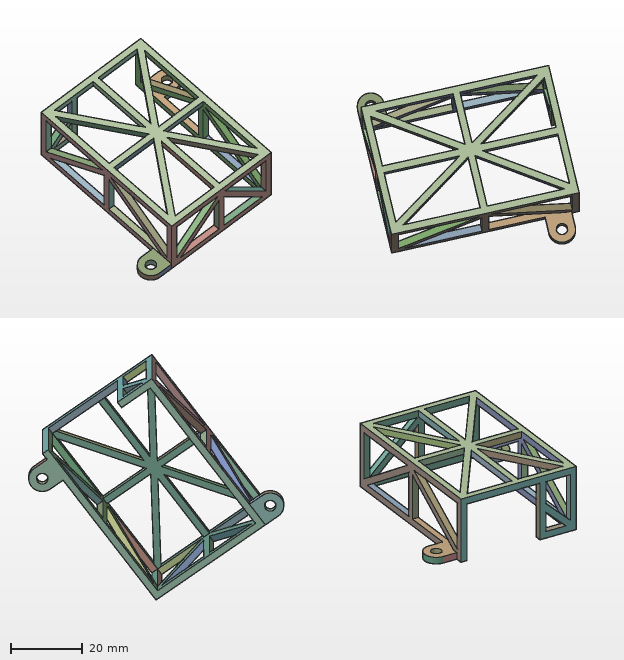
import cadquery as cq
import math

length = 54.0
total_width = 54.5
width = 38.0
height = 20.0

bar = 2.0
rail = 2.1

entry_panel = 12.0

lug_width = 7.65
lug_thickness = rail
lug_hole_diameter = 3.15
back_lug_inset = 2.2

lug_reach = (total_width - width) / 2
lug_radius = lug_width / 2
front_lug_x = (length - lug_width) / 2
back_lug_x = -length / 2 + back_lug_inset + lug_radius


def block(size_x, size_y, x=0.0, y=0.0):
    """Flat bar lying on Z = 0, centred at (x, y)."""
    return cq.Workplane("XY").box(size_x, size_y, bar, centered=(True, True, False)).translate((x, y, 0))


def brace(start, end):
    """Flat diagonal bar along the line from start to end, running past both ends."""
    run = end[0] - start[0]
    rise = end[1] - start[1]
    angle = math.degrees(math.atan2(rise, run))
    overrun = 4 * bar
    flat = block(math.hypot(run, rise) + overrun, bar).rotate((0, 0, 0), (0, 0, 1), angle)
    return flat.translate(((start[0] + end[0]) / 2, (start[1] + end[1]) / 2, 0))


def truss(span, rise, edge, braces):
    """Flat rectangular border with a centre post and braces trimmed to its window."""
    window = block(span - 2 * bar, rise - 2 * edge)
    border = block(span, rise).cut(window)
    panel = border.union(block(bar, rise))
    for start, end in braces:
        panel = panel.union(brace(start, end).intersect(window))
    return panel


def wall(span):
    """Upright truss on the XZ plane, centred on X, reaching from Y = -bar to Y = 0."""
    corner_x = span / 2 - bar
    window_top = height / 2 - rail
    braces = [((side * corner_x, -window_top), (0, window_top)) for side in (-1, 1)]
    flat = truss(span, height, rail, braces)
    return flat.rotate((0, 0, 0), (1, 0, 0), 90).translate((0, 0, height / 2))


def make_roof():
    """Top truss with both diagonals and a cross bar along X."""
    corner_x = length / 2 - bar
    corner_y = width / 2 - bar
    diagonals = [((-corner_x, -side * corner_y), (corner_x, side * corner_y)) for side in (-1, 1)]
    flat = truss(length, width, bar, diagonals).union(block(length, bar))
    return flat.translate((0, 0, height - bar))


def make_entry_wall(plain_wall):
    """End wall with an open bottom entry between a post and the +Y corner post."""
    entry_start = -width / 2 + entry_panel
    entry_end = width / 2 - bar
    entry_width = entry_end - entry_start
    entry = cq.Workplane("XY").box(bar, entry_width, height - rail, centered=(False, False, False))
    entry = entry.translate((-length / 2, entry_start, 0))
    post = cq.Workplane("XY").box(bar, bar, height, centered=(False, False, False))
    post = post.translate((-length / 2, entry_start - bar, 0))
    return plain_wall.cut(entry).union(post)


def lug():
    """Round-ended lug with a hole, attached along Y = 0 and reaching toward -Y."""
    hole_y = lug_radius - lug_reach
    outline = (
        cq.Workplane("XY")
        .moveTo(-lug_radius, 0)
        .lineTo(-lug_radius, hole_y)
        .threePointArc((0, -lug_reach), (lug_radius, hole_y))
        .lineTo(lug_radius, 0)
        .close()
    )
    hole = cq.Workplane("XY").center(0, hole_y).circle(lug_hole_diameter / 2).extrude(lug_thickness)
    return outline.extrude(lug_thickness).cut(hole)


def make_frame():
    """Open-bottomed cage of four walls and a roof, with the back lug built in."""
    front_wall = wall(length).translate((0, -width / 2 + bar, 0))
    back_wall = wall(length).translate((0, width / 2, 0))
    end_wall = wall(width).rotate((0, 0, 0), (0, 0, 1), 90)
    right_wall = end_wall.translate((length / 2 - bar, 0, 0))
    left_wall = make_entry_wall(end_wall.translate((-length / 2, 0, 0)))
    back_lug = lug().rotate((0, 0, 0), (0, 0, 1), 180).translate((back_lug_x, width / 2, 0))
    frame = make_roof()
    for piece in (front_wall, back_wall, right_wall, left_wall, back_lug):
        frame = frame.union(piece)
    return frame.clean()


def make_front_lug():
    """Separate lug resting against the front wall at its +X end."""
    return lug().translate((front_lug_x, -width / 2, 0))


frame = make_frame()
front_lug = make_front_lug()

result = cq.Compound.makeCompound([frame.val(), front_lug.val()])